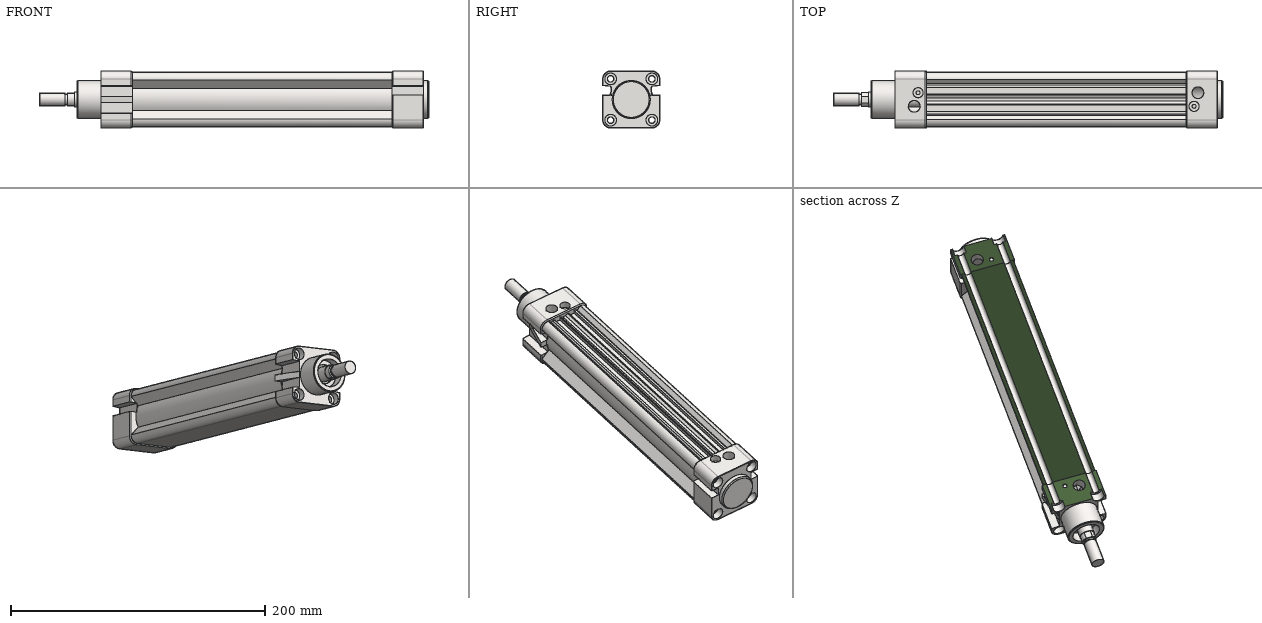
import cadquery as cq
import math

TOTAL_LENGTH = 306.0
THREAD_LENGTH = 20.0
RELIEF_END = 21.7
FLATS_END = 27.2
FRONT_COLLAR_START = 29.5
FRONT_CAP_START = 48.0
CAP_LENGTH = 24.8
REAR_COLLAR_LENGTH = 4.3
FRONT_CAP_END = FRONT_CAP_START + CAP_LENGTH
FRONT_COLLAR_LENGTH = FRONT_CAP_START - FRONT_COLLAR_START
REAR_CAP_END = TOTAL_LENGTH - REAR_COLLAR_LENGTH
REAR_CAP_START = REAR_CAP_END - CAP_LENGTH
TUBE_LENGTH = REAR_CAP_START - FRONT_CAP_END

ROD_DIAMETER = 12.0
ROD_RADIUS = ROD_DIAMETER / 2
THREAD_DIAMETER = 10.0
THREAD_RADIUS = THREAD_DIAMETER / 2
RELIEF_RADIUS = 4.3
FLATS_DIAMETER = 11.3
FLATS_RADIUS = FLATS_DIAMETER / 2
FLATS_WIDTH = 10.0

CAP_SIZE = 45.0
CAP_HALF = CAP_SIZE / 2
CORNER_RADIUS = 6.5
CAP_OUTER_CHAMFER = 0.3
CAP_TUBE_CHAMFER = 1.0
COLLAR_RADIUS = 15.0
FRONT_COLLAR_CHAMFER = 0.5
REAR_COLLAR_CHAMFER = 1.0
COLLAR_RECESS_RADIUS = 11.0
COLLAR_RECESS_DEPTH = 7.5
SEAL_RADIUS = 7.5
SEAL_DEPTH = 1.5
CHAMBER_RADIUS = 10.7
CHAMBER_DEPTH = 15.5

NOTCH_FLOOR = 16.0
NOTCH_OUTER_Z = 11.0
NOTCH_INNER_Z = 10.5
RAMP_HALF_HEIGHT = 2.5
REAR_BLOCK_TOP = 3.5

SCREW_SPACING = 32.5
SCREW_HOLE_RADIUS = 2.5
SCREW_HEAD_RADIUS = 4.5
SCREW_HEAD_DEPTH = 6.0

PORT_RADIUS = 4.5
PORT_INSET = 15.3
CUSHION_RADIUS = 4.0
CUSHION_DEPTH = 5.5
CUSHION_SOCKET_RADIUS = 1.5
CUSHION_SOCKET_DEPTH = 1.5
CUSHION_INSET = 18.5
TOP_HOLE_SPACING = 10.7
TOP_HOLE_Y = TOP_HOLE_SPACING / 2

TUBE_SIZE = 43.0
TUBE_HALF = TUBE_SIZE / 2
TUBE_CORNER_RADIUS = 6.0
TUBE_BORE_RADIUS = 16.0
TUBE_WALL_RADIUS = 17.0
SIDE_GROOVE_HALF = 15.3
TOP_RECESS_HALF = 15.5
TOP_RECESS_DEPTH = 1.8
TOP_VALLEY_DEPTH = 3.0
SLOT_OUTER = 9.5
SLOT_INNER = 4.3
SLOT_DEPTH = 2.8
CENTER_GROOVE_HALF = 3.5
CENTER_GROOVE_FLOOR_HALF = 1.2
CENTER_GROOVE_DEPTH = 1.2


def cylinder_x(start, length, radius):
    """Cylinder along the X axis."""
    return cq.Workplane("YZ", origin=(start, 0, 0)).circle(radius).extrude(length)


def screw_holes(start, length, radius):
    """Four corner cylinders along X."""
    plane = cq.Workplane("YZ", origin=(start, 0, 0))
    corners = plane.rect(SCREW_SPACING, SCREW_SPACING, forConstruction=True).vertices()
    return corners.circle(radius).extrude(length)


def rounded_bar(start, length, half, corner_radius):
    """Square bar along X with rounded long edges."""
    bar = cq.Workplane("YZ", origin=(start, 0, 0)).rect(2 * half, 2 * half).extrude(length)
    return bar.edges("|X").fillet(corner_radius)


def extrude_profile(points, start, length):
    """Closed polygon in YZ extruded along X."""
    return cq.Workplane("YZ", origin=(start, 0, 0)).polyline(points).close().extrude(length)


def both_sides(solid):
    """The solid and its mirror image across the XZ plane."""
    return solid.union(solid.mirror("XZ"))


def top_cylinder(x, y, radius, bottom):
    """Vertical cylinder from the height `bottom` up to the cap's top face."""
    return cq.Workplane("XY", origin=(x, y, bottom)).circle(radius).extrude(CAP_HALF - bottom)


def cut_top_holes(cap, outer_face, inward):
    """Cut the air port into the chamber and the stepped cushion screw hole beside it.

    `inward` is the direction along X, 1 or -1, from the outer face to the tube.
    """
    port_y = -inward * TOP_HOLE_Y
    cushion_x = outer_face + inward * CUSHION_INSET
    socket_bottom = CAP_HALF - CUSHION_DEPTH - CUSHION_SOCKET_DEPTH
    cap = cap.cut(top_cylinder(outer_face + inward * PORT_INSET, port_y, PORT_RADIUS, 0))
    cap = cap.cut(top_cylinder(cushion_x, -port_y, CUSHION_RADIUS, CAP_HALF - CUSHION_DEPTH))
    return cap.cut(top_cylinder(cushion_x, -port_y, CUSHION_SOCKET_RADIUS, socket_bottom))


def front_notches():
    """Side notches with tapered walls, running the whole cap length."""
    points = [
        (NOTCH_FLOOR, -NOTCH_INNER_Z),
        (CAP_HALF, -NOTCH_OUTER_Z),
        (CAP_HALF, NOTCH_OUTER_Z),
        (NOTCH_FLOOR, NOTCH_INNER_Z),
    ]
    return both_sides(extrude_profile(points, FRONT_CAP_START, CAP_LENGTH))


def front_ramps():
    """Wedges on the notch floors that rise to the cap's sides towards the tube."""
    wedge = (
        cq.Workplane("XY", origin=(0, 0, -RAMP_HALF_HEIGHT))
        .moveTo(FRONT_CAP_START, NOTCH_FLOOR)
        .lineTo(FRONT_CAP_END, NOTCH_FLOOR)
        .lineTo(FRONT_CAP_END, CAP_HALF)
        .close()
        .extrude(2 * RAMP_HALF_HEIGHT)
    )
    return both_sides(wedge)


def rear_notches():
    """Side notches above the solid lower blocks."""
    points = [
        (NOTCH_FLOOR, REAR_BLOCK_TOP),
        (CAP_HALF, REAR_BLOCK_TOP),
        (CAP_HALF, NOTCH_OUTER_Z),
        (NOTCH_FLOOR, NOTCH_INNER_Z),
    ]
    return both_sides(extrude_profile(points, REAR_CAP_START, CAP_LENGTH))


def make_front_cap():
    """Cap with a long recessed collar that the rod passes through."""
    cap = rounded_bar(FRONT_CAP_START, CAP_LENGTH, CAP_HALF, CORNER_RADIUS)
    cap = cap.faces("<X").chamfer(CAP_OUTER_CHAMFER).faces(">X").chamfer(CAP_TUBE_CHAMFER)
    cap = cap.cut(front_notches()).union(front_ramps())
    collar = cylinder_x(FRONT_COLLAR_START, FRONT_COLLAR_LENGTH, COLLAR_RADIUS)
    cap = cap.union(collar.faces("<X").chamfer(FRONT_COLLAR_CHAMFER))
    cap = cap.cut(cylinder_x(FRONT_COLLAR_START, COLLAR_RECESS_DEPTH, COLLAR_RECESS_RADIUS))
    cap = cap.cut(cylinder_x(FRONT_COLLAR_START + COLLAR_RECESS_DEPTH, SEAL_DEPTH, SEAL_RADIUS))
    cap = cap.cut(cylinder_x(FRONT_COLLAR_START, FRONT_CAP_END - FRONT_COLLAR_START, ROD_RADIUS))
    cap = cap.cut(cylinder_x(FRONT_CAP_END - CHAMBER_DEPTH, CHAMBER_DEPTH, CHAMBER_RADIUS))
    cap = cap.cut(screw_holes(FRONT_CAP_START, CAP_LENGTH, SCREW_HOLE_RADIUS))
    cap = cap.cut(screw_holes(FRONT_CAP_START, SCREW_HEAD_DEPTH, SCREW_HEAD_RADIUS))
    return cut_top_holes(cap, FRONT_CAP_START, 1)


def make_rear_cap():
    """Closed cap with a short collar and solid blocks on its lower sides."""
    cap = rounded_bar(REAR_CAP_START, CAP_LENGTH, CAP_HALF, CORNER_RADIUS)
    cap = cap.faces(">X").chamfer(CAP_OUTER_CHAMFER).faces("<X").chamfer(CAP_TUBE_CHAMFER)
    cap = cap.cut(rear_notches())
    collar = cylinder_x(REAR_CAP_END, REAR_COLLAR_LENGTH, COLLAR_RADIUS)
    cap = cap.union(collar.faces(">X").chamfer(REAR_COLLAR_CHAMFER))
    cap = cap.cut(cylinder_x(REAR_CAP_START, CHAMBER_DEPTH, CHAMBER_RADIUS))
    cap = cap.cut(screw_holes(REAR_CAP_START, CAP_LENGTH, SCREW_HOLE_RADIUS))
    cap = cap.cut(screw_holes(REAR_CAP_END - SCREW_HEAD_DEPTH, SCREW_HEAD_DEPTH, SCREW_HEAD_RADIUS))
    return cut_top_holes(cap, REAR_CAP_END, -1)


def side_grooves():
    """Grooves with 45 degree flanks that leave the round tube wall standing as their floor."""
    offset = TUBE_HALF - SIDE_GROOVE_HALF
    flank_z = (math.sqrt(2 * TUBE_WALL_RADIUS**2 - offset**2) - offset) / 2
    flank_y = flank_z + offset
    groove = (
        cq.Workplane("YZ", origin=(FRONT_CAP_END, 0, 0))
        .moveTo(TUBE_HALF, -SIDE_GROOVE_HALF)
        .lineTo(TUBE_HALF, SIDE_GROOVE_HALF)
        .lineTo(flank_y, flank_z)
        .threePointArc((TUBE_WALL_RADIUS, 0), (flank_y, -flank_z))
        .close()
        .extrude(TUBE_LENGTH)
    )
    return both_sides(groove)


def top_grooves():
    """Sunken deck between the top beads: a V valley by each bead, two slots and a centre groove."""
    deck_z = TUBE_HALF - TOP_RECESS_DEPTH
    valley_z = TUBE_HALF - TOP_VALLEY_DEPTH
    slot_z = deck_z - SLOT_DEPTH
    groove_z = deck_z - CENTER_GROOVE_DEPTH
    valley_y = TOP_RECESS_HALF - TOP_VALLEY_DEPTH
    deck_y = valley_y - (TOP_VALLEY_DEPTH - TOP_RECESS_DEPTH)
    half_profile = [
        (TOP_RECESS_HALF, TUBE_HALF),
        (valley_y, valley_z),
        (deck_y, deck_z),
        (SLOT_OUTER, deck_z),
        (SLOT_OUTER, slot_z),
        (SLOT_INNER, slot_z),
        (SLOT_INNER, deck_z),
        (CENTER_GROOVE_HALF, deck_z),
        (CENTER_GROOVE_FLOOR_HALF, groove_z),
    ]
    mirrored_half = [(-y, z) for y, z in reversed(half_profile)]
    return extrude_profile(half_profile + mirrored_half, FRONT_CAP_END, TUBE_LENGTH)


def make_tube():
    """Grooved, bored tube between the caps."""
    tube = rounded_bar(FRONT_CAP_END, TUBE_LENGTH, TUBE_HALF, TUBE_CORNER_RADIUS)
    tube = tube.cut(side_grooves()).cut(top_grooves())
    tube = tube.cut(cylinder_x(FRONT_CAP_END, TUBE_LENGTH, TUBE_BORE_RADIUS))
    return tube.cut(screw_holes(FRONT_CAP_END, TUBE_LENGTH, SCREW_HOLE_RADIUS))


def make_rod():
    """Threaded end, relief groove, wrench flats and shank up to the tube."""
    rod = cylinder_x(0, THREAD_LENGTH, THREAD_RADIUS)
    rod = rod.union(cylinder_x(THREAD_LENGTH, RELIEF_END - THREAD_LENGTH, RELIEF_RADIUS))
    flats_length = FLATS_END - RELIEF_END
    flats_block = cq.Workplane("YZ", origin=(RELIEF_END, 0, 0)).rect(FLATS_DIAMETER, FLATS_WIDTH)
    flats = cylinder_x(RELIEF_END, flats_length, FLATS_RADIUS).intersect(flats_block.extrude(flats_length))
    rod = rod.union(flats)
    return rod.union(cylinder_x(FLATS_END, FRONT_CAP_END - FLATS_END, ROD_RADIUS))


front_cap = make_front_cap()
rear_cap = make_rear_cap()
tube = make_tube()
rod = make_rod()

result = cq.Compound.makeCompound([front_cap.val(), rear_cap.val(), tube.val(), rod.val()])